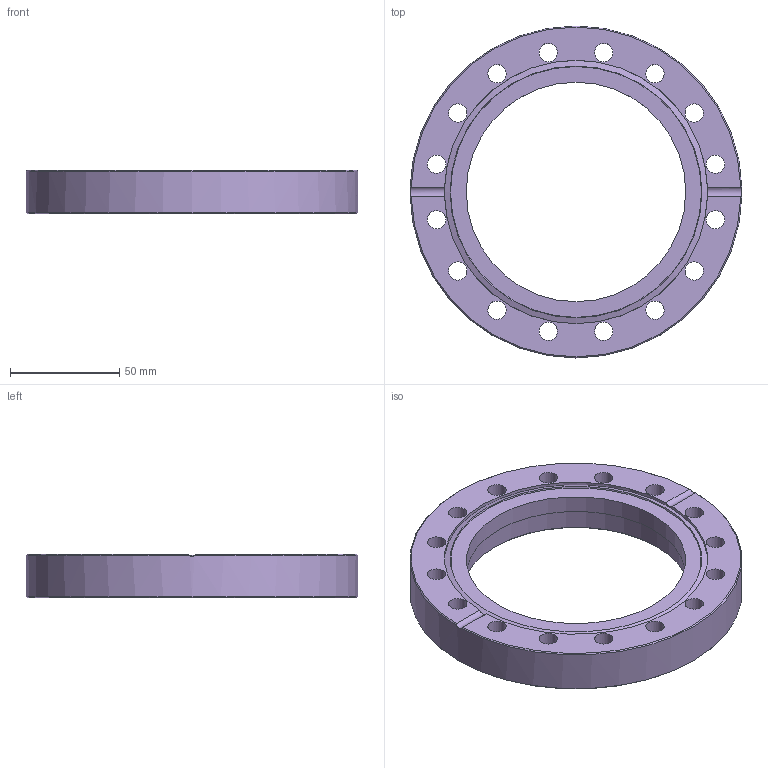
import cadquery as cq
import math

outer_diameter = 152.0
thickness = 20.0
edge_chamfer = 0.5

bore_diameter = 100.5
socket_diameter = 104.3
socket_depth = 10.7

recess_diameter = 120.6
knife_diameter = 115.3
knife_drop = 0.5
knife_slope = 20.0
knife_height = 0.6
knife_back_width = 0.2

bolt_count = 16
bolt_diameter = 8.4
bolt_circle_diameter = 130.2

groove_width = 4.2
groove_depth = 1.0


def flange_body():
    return (
        cq.Workplane("XY")
        .circle(outer_diameter / 2)
        .extrude(thickness)
        .edges()
        .chamfer(edge_chamfer)
    )


def stepped_bore():
    """Revolved cutter: through bore, wider socket and its lead-in chamfer."""
    bore_radius = bore_diameter / 2
    socket_radius = socket_diameter / 2
    return (
        cq.Workplane("XZ")
        .lineTo(socket_radius + edge_chamfer, 0)
        .lineTo(socket_radius, edge_chamfer)
        .lineTo(socket_radius, socket_depth)
        .lineTo(bore_radius, socket_depth)
        .lineTo(bore_radius, thickness)
        .lineTo(0, thickness)
        .close()
        .revolve(360, (0, 0, 0), (0, 1, 0))
    )


def gasket_recess():
    """Revolved cutter whose underside leaves the knife edge standing."""
    recess_radius = recess_diameter / 2
    knife_radius = knife_diameter / 2
    tip_z = thickness - knife_drop
    slope_fall = (recess_radius - knife_radius) * math.tan(math.radians(knife_slope))
    land_z = tip_z - knife_height
    return (
        cq.Workplane("XZ")
        .moveTo(0, thickness)
        .lineTo(recess_radius, thickness)
        .lineTo(recess_radius, tip_z - slope_fall)
        .lineTo(knife_radius, tip_z)
        .lineTo(knife_radius - knife_back_width, land_z)
        .lineTo(0, land_z)
        .close()
        .revolve(360, (0, 0, 0), (0, 1, 0))
    )


def bolt_holes():
    half_pitch = 180.0 / bolt_count
    return (
        cq.Workplane("XY")
        .polarArray(bolt_circle_diameter / 2, half_pitch, 360, bolt_count)
        .circle(bolt_diameter / 2)
        .extrude(thickness)
    )


def leak_check_grooves():
    """Round-bottomed channels from the rim to the recess, on both sides."""
    half_width = groove_width / 2
    radius = (half_width**2 + groove_depth**2) / (2 * groove_depth)
    channel = (
        cq.Workplane("YZ")
        .center(0, thickness - groove_depth + radius)
        .circle(radius)
        .extrude(outer_diameter / 2, both=True)
    )
    ring_outside_recess = (
        cq.Workplane("XY")
        .circle(outer_diameter / 2)
        .circle(recess_diameter / 2)
        .extrude(thickness)
    )
    return channel.intersect(ring_outside_recess)


result = (
    flange_body()
    .cut(leak_check_grooves())
    .cut(stepped_bore())
    .cut(gasket_recess())
    .cut(bolt_holes())
)